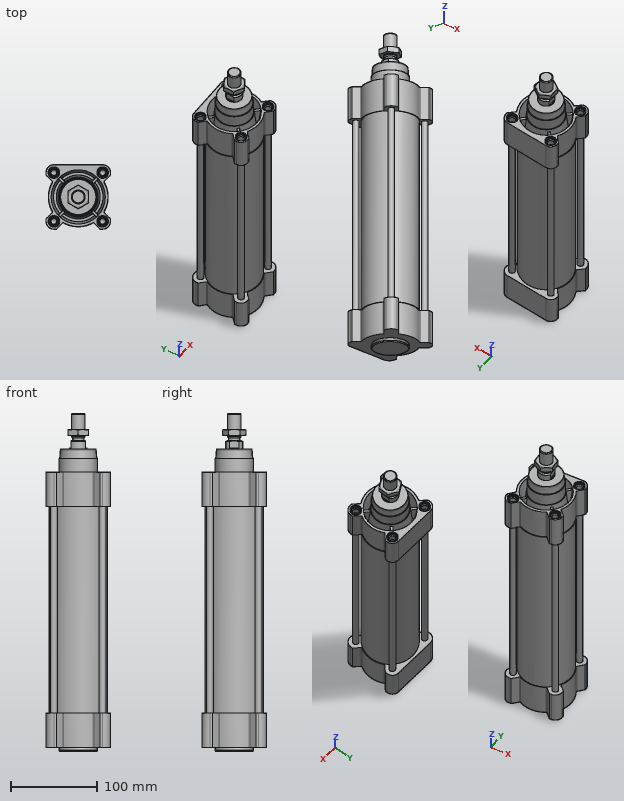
import cadquery as cq
import math

total_height = 393.0
cap_height = 40.0
rear_cap_bottom = 4.7
rear_cap_top = rear_cap_bottom + cap_height
front_cap_top = 324.7
front_cap_bottom = front_cap_top - cap_height

cap_width = 75.0
cap_radius = 69.5 / 2
barrel_radius = 68.0 / 2
lug_root_fillet = 1.0
match_tolerance = 0.05
lug_spacing = 56.5
lug_offset = lug_spacing / 2
lug_radius = cap_width / 2 - lug_offset
lug_edge_flat = 2.8
tie_rod_radius = 8.0 / 2

socket_radius = 13.5 / 2
socket_depth = 1.5
nut_bore_radius = 12.0 / 2
nut_bore_depth = 3.0
thread_countersink = 1.0
thread_radius = 8.0 / 2
thread_depth = 11.8
drill_radius = 6.5 / 2
drill_depth = 15.7
drill_tip_angle = 118.0

collar_radius = 45.0 / 2
collar_step_z = 341.0
collar_top_z = 352.0
collar_upper_radius = 21.5
collar_rim_radius = 21.0
collar_rim_drop = 1.0
collar_top_radius = 20.5
collar_step_chamfer = 0.5

recess_outer_radius = 63.0 / 2
recess_floor_outer_radius = 28.5
recess_inner_radius = 23.0
recess_floor_inner_radius = 25.5
recess_depth = 23.5
rib_width = 3.0
rib_drop = 3.5

rear_boss_root_radius = 43.5 / 2
rear_boss_chamfer = 1.0
rear_boss_land = 1.5

rod_radius = 20.0 / 2
rod_thread_radius = 16.0 / 2
rod_neck_radius = 13.5 / 2
rod_tip_chamfer = 1.0
rod_bottom_z = front_cap_bottom
rod_shoulder_z = 361.3
rod_shoulder_chamfer = 1.0
rod_thread_bottom_z = 364.5
rod_thread_runout = 1.5
rod_flat_width = 17.0
rod_flat_bottom_z = 353.0

nut_across_flats = 24.0
nut_bottom_z = 367.0
nut_thickness = 7.0
nut_face_radius = 11.8
nut_chamfer_angle = 15.0


def cylinder(radius, bottom, top):
    return cq.Workplane("XY").workplane(offset=bottom).circle(radius).extrude(top - bottom)


def turned(points):
    """Solid of revolution about Z from (radius, z) points."""
    return cq.Workplane("XZ").polyline(points).close().revolve(360, (0, 0), (0, 1))


def lug_centres():
    return [(sx * lug_offset, sy * lug_offset) for sx in (-1, 1) for sy in (-1, 1)]


def make_lug(bottom):
    """Lug for the (+X, +Y) corner: rounded outside, with two flanks running towards the axis."""
    edge = cap_width / 2
    flat_end = lug_offset - lug_edge_flat
    flank_gap = edge - flat_end
    corner = lug_offset + lug_radius * math.sqrt(0.5)
    return (
        cq.Workplane("XY")
        .workplane(offset=bottom)
        .moveTo(flank_gap, 0)
        .lineTo(edge, flat_end)
        .lineTo(edge, lug_offset)
        .threePointArc((corner, corner), (lug_offset, edge))
        .lineTo(flat_end, edge)
        .lineTo(0, flank_gap)
        .close()
        .extrude(cap_height)
    )


def is_lug_root(edge):
    """True for the upright edges where a lug flank meets the round body of a cap."""
    x, y, _ = edge.Center().toTuple()
    on_round_body = abs(math.hypot(x, y) - cap_radius) < match_tolerance
    off_axes = min(abs(x), abs(y)) > match_tolerance
    return on_round_body and off_axes


def make_cap(bottom):
    cap = cylinder(cap_radius, bottom, bottom + cap_height)
    lug = make_lug(bottom)
    for turn in range(4):
        cap = cap.union(lug.rotate((0, 0, 0), (0, 0, 1), 90 * turn))
    web_depth = cap_width / 2 - lug_offset
    web = (
        cq.Workplane("XY")
        .workplane(offset=bottom)
        .rect(lug_spacing, web_depth)
        .extrude(cap_height)
        .translate((0, lug_offset + web_depth / 2, 0))
    )
    cap = cap.union(web)
    lug_roots = cap.edges("|Z").filter(is_lug_root)
    return cap.newObject(lug_roots.vals()).fillet(lug_root_fillet)


def make_recess():
    floor = front_cap_top - recess_depth
    recess = turned([
        (recess_inner_radius, front_cap_top),
        (recess_outer_radius, front_cap_top),
        (recess_floor_outer_radius, floor),
        (recess_floor_inner_radius, floor),
    ])
    rib_height = recess_depth - rib_drop
    for angle in (45, 135):
        rib = (
            cq.Workplane("XY")
            .workplane(offset=floor)
            .rect(2 * recess_outer_radius, rib_width)
            .extrude(rib_height)
            .rotate((0, 0, 0), (0, 0, 1), angle)
        )
        recess = recess.cut(rib)
    return recess


def make_lug_socket():
    tip = drill_radius / math.tan(math.radians(drill_tip_angle / 2))
    return turned([
        (0, front_cap_top),
        (socket_radius, front_cap_top),
        (socket_radius, front_cap_top - socket_depth),
        (nut_bore_radius, front_cap_top - socket_depth),
        (nut_bore_radius, front_cap_top - nut_bore_depth),
        (thread_radius + thread_countersink, front_cap_top - nut_bore_depth),
        (thread_radius, front_cap_top - nut_bore_depth - thread_countersink),
        (thread_radius, front_cap_top - thread_depth),
        (drill_radius, front_cap_top - thread_depth),
        (drill_radius, front_cap_top - drill_depth),
        (0, front_cap_top - drill_depth - tip),
    ])


def make_collar():
    return turned([
        (0, front_cap_bottom),
        (collar_radius, front_cap_bottom),
        (collar_radius, collar_step_z - collar_step_chamfer),
        (collar_radius - collar_step_chamfer, collar_step_z),
        (collar_upper_radius, collar_step_z),
        (collar_rim_radius, collar_top_z - collar_rim_drop),
        (collar_top_radius, collar_top_z),
        (0, collar_top_z),
    ])


def make_rear_boss():
    return turned([
        (0, 0),
        (collar_radius - rear_boss_chamfer, 0),
        (collar_radius, rear_boss_chamfer),
        (collar_radius, rear_boss_chamfer + rear_boss_land),
        (rear_boss_root_radius, rear_cap_bottom),
        (0, rear_cap_bottom),
    ])


def make_housing():
    housing = cylinder(barrel_radius, rear_cap_top, front_cap_bottom)
    housing = housing.union(make_cap(rear_cap_bottom)).union(make_cap(front_cap_bottom))
    for x, y in lug_centres():
        tie_rod = cylinder(tie_rod_radius, rear_cap_top, front_cap_bottom).translate((x, y, 0))
        housing = housing.union(tie_rod)
    housing = housing.cut(make_recess())
    housing = housing.union(make_collar()).union(make_rear_boss())
    for x, y in lug_centres():
        housing = housing.cut(make_lug_socket().translate((x, y, 0)))
    return housing.cut(cylinder(rod_radius, rod_bottom_z, collar_top_z))


def make_piston_rod():
    rod = turned([
        (0, rod_bottom_z),
        (rod_radius, rod_bottom_z),
        (rod_radius, rod_shoulder_z - rod_shoulder_chamfer),
        (rod_thread_radius, rod_shoulder_z),
        (rod_neck_radius, rod_shoulder_z),
        (rod_neck_radius, rod_thread_bottom_z),
        (rod_thread_radius, rod_thread_bottom_z + rod_thread_runout),
        (rod_thread_radius, total_height - rod_tip_chamfer),
        (rod_thread_radius - rod_tip_chamfer, total_height),
        (0, total_height),
    ])
    flat_cutter = (
        cq.Workplane("XY")
        .workplane(offset=rod_flat_bottom_z)
        .rect(2 * rod_radius, 2 * rod_radius)
        .extrude(rod_shoulder_z - rod_flat_bottom_z)
    )
    for side in (-1, 1):
        rod = rod.cut(flat_cutter.translate((side * (rod_flat_width / 2 + rod_radius), 0, 0)))
    return rod


def make_lock_nut():
    half_corner_angle = 180 / 6
    across_corners = nut_across_flats / math.cos(math.radians(half_corner_angle))
    corner_radius = across_corners / 2
    corner_drop = (corner_radius - nut_face_radius) * math.tan(math.radians(nut_chamfer_angle))
    top = nut_bottom_z + nut_thickness
    hexagon = (
        cq.Workplane("XY")
        .workplane(offset=nut_bottom_z)
        .polygon(6, across_corners)
        .extrude(nut_thickness)
        .rotate((0, 0, 0), (0, 0, 1), half_corner_angle)
    )
    envelope = turned([
        (0, nut_bottom_z),
        (nut_face_radius, nut_bottom_z),
        (corner_radius, nut_bottom_z + corner_drop),
        (corner_radius, top - corner_drop),
        (nut_face_radius, top),
        (0, top),
    ])
    return hexagon.intersect(envelope).cut(cylinder(rod_thread_radius, nut_bottom_z, top))


housing = make_housing()
piston_rod = make_piston_rod()
lock_nut = make_lock_nut()

result = cq.Compound.makeCompound([
    housing.solids().val(),
    piston_rod.solids().val(),
    lock_nut.solids().val(),
])